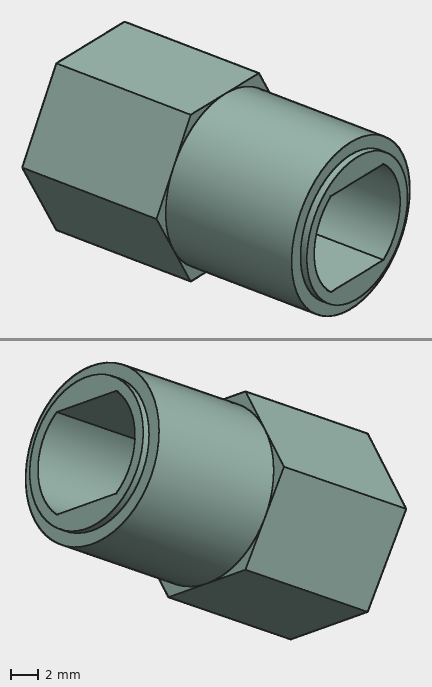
import cadquery as cq
import math

total_length = 24.8
hex_length = 12.5
tip_length = 0.6
body_length = total_length - hex_length - tip_length

across_flats = 13.9
across_corners = across_flats / math.cos(math.radians(30))
body_diameter = across_flats
tip_diameter = 11.8
bore_diameter = 10.1
bore_flat_spacing = 7.99


def make_outside():
    """Hexagonal head, round body and reduced tip, stacked along +X."""
    head = cq.Workplane("YZ").polygon(6, across_corners).extrude(hex_length)
    body = head.faces(">X").workplane().circle(body_diameter / 2).extrude(body_length)
    return body.faces(">X").workplane().circle(tip_diameter / 2).extrude(tip_length)


def make_bore():
    """Round through bore with two flats, at top and bottom."""
    cylinder = cq.Workplane("YZ").circle(bore_diameter / 2).extrude(total_length)
    flats = cq.Workplane("YZ").rect(bore_diameter, bore_flat_spacing).extrude(total_length)
    return cylinder.intersect(flats)


result = make_outside().cut(make_bore())